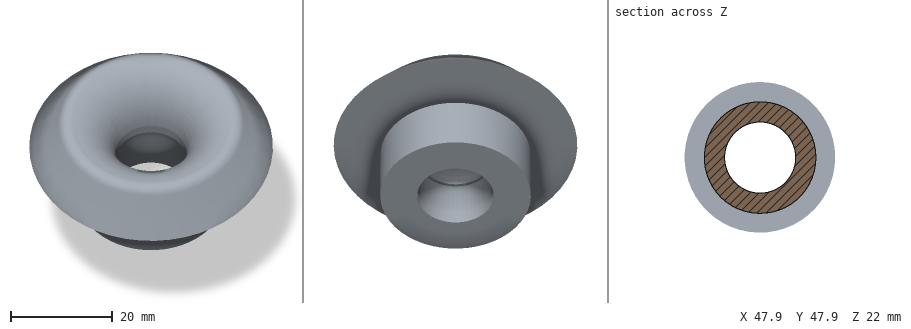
import cadquery as cq
import math

total_height = 21.95
flange_radius = 23.95
flange_height = 7.95
body_radius = 14.8
body_height = 10.95
neck_radius = 11.0

cone_angle = math.radians(50.5)
crown_radius = 2.5
funnel_rim_slope = math.radians(13)

throat_radius = 6.95
throat_length = 2.0
bore_radius = 7.5
bore_depth = 10.0

flange_bottom = total_height - flange_height
throat_top = bore_depth + throat_length

crown_center_z = total_height - crown_radius
cone_top_z = crown_center_z + crown_radius * math.cos(cone_angle)
cone_top_radius = flange_radius - (cone_top_z - flange_bottom) / math.tan(cone_angle)
crown_center_radius = cone_top_radius - crown_radius * math.sin(cone_angle)


def crown_point(angle):
    """Point on the crown arc, with the angle measured outward from vertical."""
    return (
        crown_center_radius + crown_radius * math.sin(angle),
        crown_center_z + crown_radius * math.cos(angle),
    )


def half_section():
    """Closed radial section, with local X as radius and local Y as height."""
    return (
        cq.Workplane("XZ")
        .moveTo(bore_radius, 0)
        .lineTo(body_radius, 0)
        .lineTo(body_radius, body_height)
        .lineTo(neck_radius, body_height)
        .lineTo(neck_radius, flange_bottom)
        .lineTo(flange_radius, flange_bottom)
        .lineTo(*crown_point(cone_angle))
        .threePointArc(crown_point(0), crown_point(-funnel_rim_slope))
        .tangentArcPoint((throat_radius, throat_top), relative=False)
        .lineTo(throat_radius, bore_depth)
        .lineTo(bore_radius, bore_depth)
        .close()
    )


result = half_section().revolve(360, (0, 0, 0), (0, 1, 0))